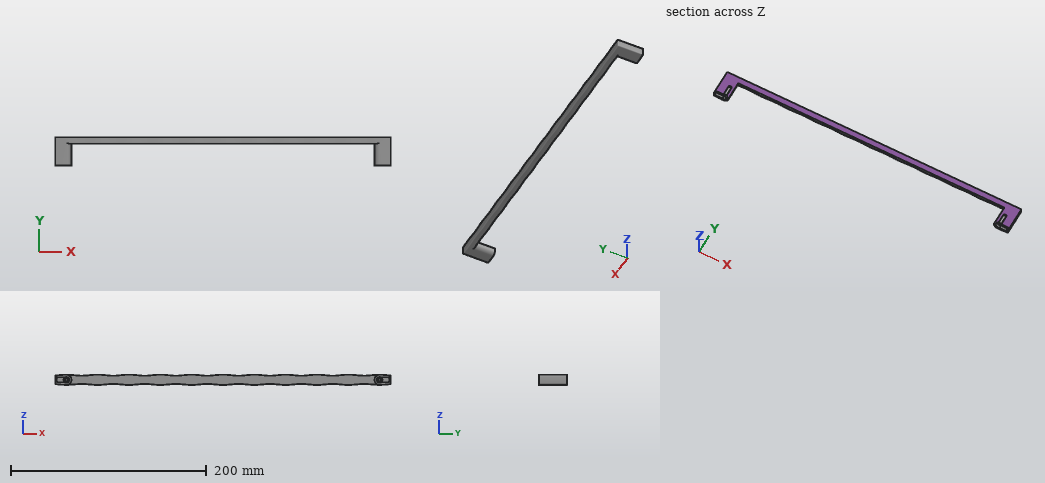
import cadquery as cq
import math

overall_length = 342.98
overall_depth = 29.0
overall_height = 10.89
hole_spacing = 320.0
bar_thickness = 7.0

front_edge_fillet = 1.4
back_edge_fillet = 1.0
end_fillet = 1.2
end_bulge = 0.3

wave_count = 10
wave_drop = 1.1
crest_half_width = 6.9
leg_crest_half_width = 7.9

hole_diameter = 3.0
hole_depth = 15.0
counterbore_diameter = 5.8
cone_angle = 90.0
recess_width = 5.2
recess_depth = 3.0
recess_corner = 1.2
recess_end_wall = 1.8

half_length = overall_length / 2
end_corner_x = half_length - end_bulge
hole_x = hole_spacing / 2
wave_pitch = hole_spacing / wave_count
half_pitch = wave_pitch / 2

crest_z = overall_height / 2
trough_z = crest_z - wave_drop
hollow_half_width = half_pitch - crest_half_width
wave_angle = 2 * math.atan(wave_drop / half_pitch)
crest_radius = crest_half_width / math.sin(wave_angle)
hollow_radius = hollow_half_width / math.sin(wave_angle)

leg_wave_angle = math.asin((half_pitch - leg_crest_half_width) / hollow_radius)
leg_radius = trough_z + half_pitch * math.tan(leg_wave_angle / 2)
leg_crest_radius = leg_crest_half_width / math.sin(leg_wave_angle)


def arc_drop(radius, offset):
    """Fall of a circular arc at a distance from its highest point."""
    return radius - math.sqrt(radius**2 - offset**2)


def wave_height(x):
    """Height of the wavy edge above the centre line at a given x."""
    nearest_crest = wave_pitch * round(x / wave_pitch)
    offset = abs(x - nearest_crest)
    over_leg = abs(nearest_crest) == hole_x
    if over_leg and offset <= leg_crest_half_width:
        return leg_radius - arc_drop(leg_crest_radius, offset)
    if not over_leg and offset <= crest_half_width:
        return crest_z - arc_drop(crest_radius, offset)
    return trough_z + arc_drop(hollow_radius, half_pitch - offset)


def wave_joins():
    """X positions where the arcs of the wavy edge meet, from one end to the other."""
    joins = [-end_corner_x]
    for index in range(wave_count + 1):
        crest_x = index * wave_pitch - hole_x
        half_width = leg_crest_half_width if index in (0, wave_count) else crest_half_width
        joins += [crest_x - half_width, crest_x + half_width]
    return joins + [end_corner_x]


def add_wave(outline, side):
    """Trace the upper edge (side = 1) left to right, or the lower edge (side = -1) right to left."""
    joins = wave_joins()[::side]
    for start, end in zip(joins, joins[1:]):
        middle = (start + end) / 2
        outline = outline.threePointArc((middle, side * wave_height(middle)), (end, side * wave_height(end)))
    return outline


def wavy_plate(depth):
    """Full-length wavy outline with rounded ends and back edge, extruded forward from the back."""
    end_z = wave_height(end_corner_x)
    outline = cq.Workplane("XZ", origin=(0, overall_depth, 0)).moveTo(-end_corner_x, -end_z)
    outline = add_wave(outline.threePointArc((-half_length, 0), (-end_corner_x, end_z)), 1)
    outline = add_wave(outline.threePointArc((half_length, 0), (end_corner_x, -end_z)), -1)
    plate = outline.close().extrude(depth)
    for end in ("<X", ">X"):
        plate = plate.edges("|Y").edges(end).fillet(end_fillet)
    return plate.faces(">Y").edges().fillet(back_edge_fillet)


def leg(side):
    """Leg whose outer half follows the wavy outline and whose inner half is round."""
    outer_length = half_length - hole_x
    outer = cq.Workplane("XY").box(outer_length, overall_depth, overall_height, centered=(True, False, True))
    outer = outer.translate((side * (hole_x + outer_length / 2), 0, 0))
    inner = cq.Workplane("XZ").center(side * hole_x, 0).circle(leg_radius).extrude(-overall_depth)
    return wavy_plate(overall_depth).intersect(outer.union(inner))


def fixing(side):
    """Counterbored blind hole with a tapered lead-in and the recess beside it, for the foot of one leg."""
    foot = cq.Workplane("XZ").center(side * hole_x, 0)
    hole = foot.circle(hole_diameter / 2).extrude(-hole_depth)
    counterbore = foot.circle(counterbore_diameter / 2).extrude(-recess_depth)
    cone_depth = (counterbore_diameter - hole_diameter) / 2 / math.tan(math.radians(cone_angle / 2))
    cone_base = cq.Vector(side * hole_x, recess_depth, 0)
    inward = cq.Vector(0, 1, 0)
    cone = cq.Solid.makeCone(counterbore_diameter / 2, hole_diameter / 2, cone_depth, cone_base, inward)
    recess_length = half_length - recess_end_wall - hole_x
    recess = foot.center(side * recess_length / 2, 0).rect(recess_length, recess_width).extrude(-recess_depth)
    recess = recess.edges("|Y").edges(">X" if side > 0 else "<X").fillet(recess_corner)
    return hole.union(recess).union(counterbore).union(cq.Workplane(cone))


result = wavy_plate(bar_thickness).faces("<Y").edges().fillet(front_edge_fillet)
for side in (-1, 1):
    result = result.union(leg(side))
for side in (-1, 1):
    result = result.cut(fixing(side))